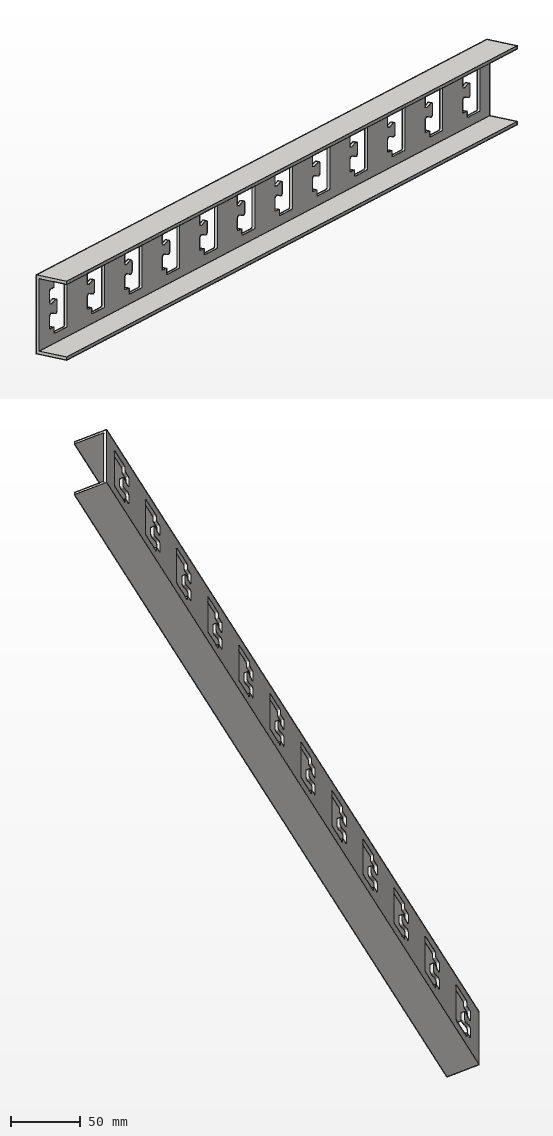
import cadquery as cq
LENGTH = 600.0
WIDTH = 26.0
HEIGHT = 60.0
WALL = 2.5

SLOT_COUNT = 12
PITCH = LENGTH / SLOT_COUNT
STEP_POSITION = 30.0
SLOT_HEIGHT = 40.0
STEP_HEIGHT = 30.0
STEP_DEPTH = 6.0
SLOT_RADIUS = 1.0

TONGUE_OVERLAP = 3.9
TONGUE_CLEARANCE = 13.0
TIP_HEIGHT = 12.5
ROOT_HEIGHT = 5.5
TONGUE_RADIUS = 2.05


def make_channel():
    outer = cq.Workplane("XY").box(WIDTH, LENGTH, HEIGHT)
    inside = cq.Workplane("XY").box(WIDTH, LENGTH, HEIGHT - 2 * WALL)
    return outer.cut(inside.translate((WALL, 0, 0)))


def make_slot_cutter():
    """Cutter for the slot nearest the +Y end, with its straight side facing that end."""
    step = LENGTH / 2 - STEP_POSITION
    far_side = step - STEP_DEPTH
    tip = step + TONGUE_OVERLAP
    straight_side = tip + TONGUE_CLEARANCE

    upper_corners = [
        (straight_side, SLOT_HEIGHT / 2, SLOT_RADIUS),
        (step, SLOT_HEIGHT / 2, SLOT_RADIUS),
        (step, STEP_HEIGHT / 2, SLOT_RADIUS),
        (far_side, STEP_HEIGHT / 2, SLOT_RADIUS),
        (far_side, ROOT_HEIGHT / 2, TONGUE_RADIUS),
        (tip, TIP_HEIGHT / 2, TONGUE_RADIUS),
    ]
    lower_corners = [(y, -z, radius) for y, z, radius in reversed(upper_corners)]
    corners = upper_corners + lower_corners

    outer_face = -WIDTH / 2
    web = cq.Workplane("YZ", origin=(outer_face, 0, 0))
    cutter = web.polyline([(y, z) for y, z, _ in corners]).close().extrude(WALL)
    for y, z, radius in corners:
        corner_edge = cq.NearestToPointSelector((outer_face + WALL / 2, y, z))
        cutter = cutter.edges(corner_edge).fillet(radius)
    return cutter.val()


def make_slot_row():
    first = make_slot_cutter()
    slots = [first.translate(cq.Vector(0, -index * PITCH, 0)) for index in range(SLOT_COUNT)]
    return cq.Workplane(cq.Compound.makeCompound(slots))


result = make_channel().cut(make_slot_row()).solids()